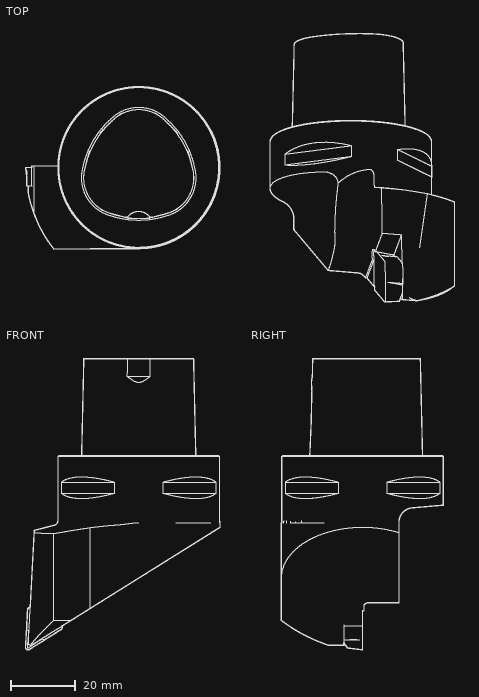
import cadquery as cq
import math

flange_radius = 25.0
flange_height = 20.15
flange_chamfer = 0.3

groove_angles = (45, 135, 225, 315)
groove_centre_z = -9.9
groove_floor_distance = 22.15
groove_floor_width = 3.4
groove_flank_angle = 30

shank_height = 30.0
lobe_reach = 18.55
flat_reach = 16.35
lobe_centre_distance = 6.4
shank_taper = 1.3
lobe_angles = (90, 210, 330)
lobe_spacing = 120

notch_radius = 4.2
notch_axis_y = -17.8
notch_straight_depth = 5.5
notch_cone_angle = 40

insert_tip_x = -35.0
insert_tip_z = -60.0
insert_edge = 13.56
insert_left_angle = 87
insert_bottom_angle = 32
insert_nose_radius = 0.8
insert_thickness = 5.75
insert_clearance = 7
insert_seat_start = 0.9
insert_seat_half_length = 5.8
insert_relief_depth = 1.25
insert_relief_length = 3.2

head_radius = 25.14
arm_side_y = -25.2
arm_side_end_x = -15.0
arm_outer_radius = 39.4
arm_outer_centre = (4.6, -0.7)
arm_face_y = 0.5
arm_inset = 0.8
arm_nose_radius = 0.75
ledge_slope = 14.5
ledge_fillet = 1.3
belly_points = ((arm_side_y, -50.85), (-18.6, -55.1), (-10.5, -58.6))

back_wall_y = 11.3
ceiling_z_at_rim = -15.3
ceiling_slope = 5
ceiling_fillet = 4.3

chip_arc_start = (-24.9, -15.6)
chip_arc_middle = (-20.3, -25.0)
chip_ridge = (-19.0, -39.0)
chip_lower_middle = (-15.9, -42.7)
chip_lower_end = (-11.0, -46.1)
chip_ridge_fillet = 2.6
chip_floor_fillet = 1.4

relief_wall_start = (-33.3, -37.7)
relief_wall_angle = -31
relief_wall_length = 9.0

far = 80.0
spare = 1.0


def polar(distance, angle):
    return (distance * math.cos(math.radians(angle)), distance * math.sin(math.radians(angle)))


def shifted(point, distance, angle):
    step = polar(distance, angle)
    return (point[0] + step[0], point[1] + step[1])


def side_prism(wire, y_low, y_high):
    """Extrude an outline drawn on the XZ plane from y_low to y_high."""
    return wire.extrude(y_high - y_low).translate((0, y_high, 0))


def make_shank():
    """Three lobe arcs and three flatter arcs, all tangent, drawn in towards the top."""
    lobe_radius = lobe_reach - lobe_centre_distance
    reach_gap = lobe_reach - flat_reach
    flat_centre_distance = (reach_gap * (2 * lobe_centre_distance - reach_gap)
                            / (lobe_centre_distance - 2 * reach_gap))
    joint_angle = math.degrees(math.atan2(
        flat_centre_distance * math.sin(math.radians(lobe_spacing / 2)),
        lobe_centre_distance + flat_centre_distance * math.cos(math.radians(lobe_spacing / 2))))

    def joint(lobe_angle, side):
        centre = polar(lobe_centre_distance, lobe_angle)
        return shifted(centre, lobe_radius, lobe_angle + side * joint_angle)

    outline = cq.Workplane("XY").moveTo(*joint(lobe_angles[0], -1))
    for angle in lobe_angles:
        outline = outline.threePointArc(polar(lobe_reach, angle), joint(angle, 1))
        flat_middle = polar(flat_reach, angle + lobe_spacing / 2)
        outline = outline.threePointArc(flat_middle, joint(angle + lobe_spacing, -1))
    shank = outline.close().extrude(shank_height, taper=shank_taper)
    return shank.cut(make_notch())


def make_notch():
    """Round-bottomed drill shape that bites into the flat side of the shank."""
    rim_z = shank_height - notch_straight_depth
    apex_z = rim_z - notch_radius * math.tan(math.radians(notch_cone_angle))
    profile = cq.Workplane("XZ").polyline([
        (0, apex_z),
        (notch_radius, rim_z),
        (notch_radius, shank_height + spare),
        (0, shank_height + spare),
    ]).close()
    return profile.revolve(360, (0, 0), (0, 1)).translate((0, notch_axis_y, 0))


def make_groove(angle):
    """Straight groove with sloping flanks, cut square to the given direction."""
    outer_distance = flange_radius + spare
    half_floor = groove_floor_width / 2
    flank_rise = (outer_distance - groove_floor_distance) * math.tan(math.radians(groove_flank_angle))
    half_mouth = half_floor + flank_rise
    profile = cq.Workplane("XZ").polyline([
        (groove_floor_distance, groove_centre_z - half_floor),
        (groove_floor_distance, groove_centre_z + half_floor),
        (outer_distance, groove_centre_z + half_mouth),
        (outer_distance, groove_centre_z - half_mouth),
    ]).close()
    return profile.extrude(flange_radius, both=True).rotate((0, 0, 0), (0, 0, 1), angle)


def make_flange():
    flange = cq.Workplane("XY").circle(flange_radius).extrude(-flange_height)
    flange = flange.faces(">Z").edges().chamfer(flange_chamfer)
    for angle in groove_angles:
        flange = flange.cut(make_groove(angle))
    return flange


nose_angle = insert_left_angle - insert_bottom_angle
bisector_angle = (insert_left_angle + insert_bottom_angle) / 2
corner_to_nose_centre = insert_nose_radius / math.sin(math.radians(nose_angle / 2))
nose_centre = (insert_tip_x + insert_nose_radius, insert_tip_z + insert_nose_radius)
cutting_corner = shifted(nose_centre, -corner_to_nose_centre, bisector_angle)
upper_corner = shifted(cutting_corner, insert_edge, insert_left_angle)
lower_corner = shifted(cutting_corner, insert_edge, insert_bottom_angle)
inner_corner = shifted(upper_corner, insert_edge, insert_bottom_angle)
insert_centre = ((cutting_corner[0] + inner_corner[0]) / 2, (cutting_corner[1] + inner_corner[1]) / 2)


def insert_outline(inset):
    """Rounded rhombus as a face wire, moved inwards by the inset."""
    points = [cutting_corner, lower_corner, inner_corner, upper_corner]
    sharp = cq.Workplane("XZ").polyline(points).close()
    rounded = sharp.extrude(insert_thickness).edges("|Y").fillet(insert_nose_radius)
    wire = rounded.faces(">Y").wires().val()
    outline = cq.Workplane("XZ").add(wire).toPending()
    return outline if inset == 0 else outline.offset2D(-inset)


def make_insert():
    insert = insert_outline(0).extrude(insert_thickness, taper=insert_clearance)
    return insert.union(make_insert_seats()).cut(make_nose_reliefs())


def make_insert_seats():
    """Upright locating faces beside both obtuse corners."""
    inset = insert_seat_start * math.tan(math.radians(insert_clearance))
    upright = side_prism(insert_outline(inset), -insert_thickness, -insert_seat_start)
    middle = cq.Workplane("XY").box(2 * insert_seat_half_length, far, far)
    middle = middle.rotate((0, 0, 0), (0, 1, 0), -bisector_angle)
    return upright.intersect(middle.translate((insert_centre[0], 0, insert_centre[1])))


def make_nose_reliefs():
    """Slanted cuts under both acute corners, drawn along the long diagonal."""
    reach = insert_edge * math.cos(math.radians(nose_angle / 2)) - corner_to_nose_centre + insert_nose_radius
    base = -insert_thickness
    reliefs = cq.Workplane("XY")
    for side in (-1, 1):
        profile = cq.Workplane("XY").polyline([
            (side * reach, base + insert_relief_depth),
            (side * (reach - insert_relief_length), base),
            (side * reach, base - spare),
            (side * (reach + spare), base - spare),
            (side * (reach + spare), base + insert_relief_depth),
        ]).close()
        reliefs = reliefs.add(profile.extrude(insert_edge, both=True))
    reliefs = reliefs.combine()
    reliefs = reliefs.rotate((0, 0, 0), (0, 1, 0), -bisector_angle)
    return reliefs.translate((insert_centre[0], 0, insert_centre[1]))


def make_head_plan():
    """Round head with the arm reaching out to -X, seen along the axis."""
    round_head = cq.Workplane("XY").circle(head_radius).extrude(-far)
    outer_cylinder = cq.Workplane("XY").center(*arm_outer_centre).circle(arm_outer_radius).extrude(-far)
    arm_limits = (
        cq.Workplane("XY")
        .moveTo(0, arm_face_y)
        .lineTo(0, -head_radius)
        .lineTo(arm_side_end_x, -head_radius)
        .lineTo(arm_side_end_x, arm_side_y)
        .lineTo(-far, arm_side_y)
        .lineTo(-far, arm_face_y)
        .close()
        .extrude(-far)
    )
    return round_head.union(outer_cylinder.intersect(arm_limits))


def make_head_side():
    """Wedge between the leaning left face and the sloping bottom face."""
    tip = shifted(cutting_corner, arm_inset / math.sin(math.radians(nose_angle / 2)), bisector_angle)
    profile = cq.Workplane("XZ").polyline([
        tip,
        shifted(tip, 2 * far, insert_bottom_angle),
        shifted(tip, 2 * far, insert_left_angle),
    ]).close()
    wedge = profile.extrude(far, both=True)
    nose_edge = cq.selectors.NearestToPointSelector((tip[0], 0, tip[1]))
    return wedge.edges(nose_edge).fillet(arm_nose_radius)


def make_ledge_cone():
    """Conical top of the arm, blended into the flange by a concave fillet."""
    centre = (flange_radius + ledge_fillet, -flange_height)
    blend_end = shifted(centre, -ledge_fillet, 90 - ledge_slope)
    blend_middle = shifted(centre, -ledge_fillet, (90 - ledge_slope) / 2)
    rim = shifted(blend_end, far, -ledge_slope)
    profile = (
        cq.Workplane("XZ")
        .moveTo(0, -flange_height)
        .lineTo(flange_radius, -flange_height)
        .threePointArc(blend_middle, blend_end)
        .lineTo(*rim)
        .lineTo(rim[0], -far)
        .lineTo(0, -far)
        .close()
    )
    return profile.revolve(360, (0, 0), (0, 1))


def make_belly():
    """Rounded underside of the arm, running along X."""
    start, middle, end = belly_points
    profile = (
        cq.Workplane("YZ")
        .moveTo(*start)
        .threePointArc(middle, end)
        .lineTo(end[0], -far)
        .lineTo(far, -far)
        .lineTo(far, 0)
        .lineTo(start[0], 0)
        .close()
    )
    return profile.extrude(far, both=True)


def make_head():
    return make_head_plan().intersect(make_head_side()).intersect(make_ledge_cone()).intersect(make_belly())


def make_back_cut():
    """All material behind the back wall, below a slightly sloping ceiling."""
    slope = math.tan(math.radians(ceiling_slope))
    corner_z = ceiling_z_at_rim - (flange_radius - back_wall_y) * slope
    profile = cq.Workplane("YZ").polyline([
        (back_wall_y, corner_z),
        (far, corner_z + (far - back_wall_y) * slope),
        (far, -far),
        (back_wall_y, -far),
    ]).close()
    cut = profile.extrude(far, both=True)
    inner_edge = cq.selectors.NearestToPointSelector((0, back_wall_y, corner_z))
    return cut.edges(inner_edge).fillet(ceiling_fillet)


def make_chip_space():
    """Hollow in front of the arm face, with a rounded ridge and floor edge."""
    profile = (
        cq.Workplane("XZ")
        .moveTo(*chip_arc_start)
        .threePointArc(chip_arc_middle, chip_ridge)
        .threePointArc(chip_lower_middle, chip_lower_end)
        .lineTo(chip_lower_end[0], -far)
        .lineTo(-far, -far)
        .lineTo(-far, chip_arc_start[1])
        .close()
    )
    space = side_prism(profile, arm_face_y, far)
    ridge_edge = cq.selectors.NearestToPointSelector((chip_ridge[0], (arm_face_y + far) / 2, chip_ridge[1]))
    space = space.edges(ridge_edge).fillet(chip_ridge_fillet)
    return space.faces("<Y").edges().fillet(chip_floor_fillet)


def make_insert_pocket(insert):
    """Seat of the insert, the space over it and the free space around its exposed edges."""
    wall_outer = shifted(relief_wall_start, -far, relief_wall_angle)
    wall_inner = shifted(relief_wall_start, relief_wall_length, relief_wall_angle)
    wall_through = shifted(relief_wall_start, far, relief_wall_angle)
    free_space = cq.Workplane("XZ").polyline([
        wall_inner,
        wall_outer,
        (wall_outer[0], -far),
        (nose_centre[0] + insert_relief_length, -far),
        insert_centre,
    ]).close()
    open_front = cq.Workplane("XZ").polyline([
        wall_outer,
        wall_through,
        (wall_outer[0], wall_through[1]),
    ]).close()
    top = arm_face_y + chip_floor_fillet
    pocket = insert.union(side_prism(insert_outline(0), 0, top))
    pocket = pocket.union(side_prism(open_front, 0, arm_face_y))
    return pocket.union(side_prism(free_space, -insert_thickness, arm_face_y))


cutting_insert = make_insert()

holder = make_flange().union(make_shank()).union(make_head())
holder = holder.cut(make_back_cut()).cut(make_chip_space()).cut(make_insert_pocket(cutting_insert))

result = cq.Compound.makeCompound([*holder.solids().vals(), *cutting_insert.solids().vals()])